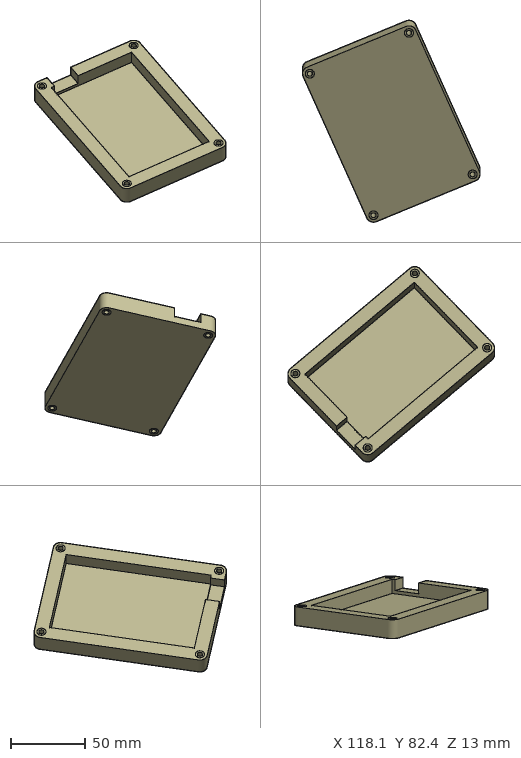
import cadquery as cq

length = 118.1
width = 82.4
height = 13.0
corner_radius = 5.0

wall = 9.6
cavity_depth = 9.7

notch_width = 18.7
notch_depth = 7.4
notch_center_y = -19.8

sleeve_diameter = 6.0
bore_diameter = 3.4
sleeve_x = length / 2 - corner_radius
sleeve_y = width / 2 - corner_radius
sleeve_positions = [(x, y) for x in (-sleeve_x, sleeve_x) for y in (-sleeve_y, sleeve_y)]


def make_cavity():
    """Cutter for the cavity, open at the top face."""
    return (
        cq.Workplane("XY")
        .workplane(offset=height - cavity_depth)
        .rect(length - 2 * wall, width - 2 * wall)
        .extrude(cavity_depth)
    )


def make_notch():
    """Cutter for the notch, from the outer -X face to the cavity."""
    return (
        cq.Workplane("XY")
        .box(wall, notch_width, notch_depth, centered=(False, True, False))
        .translate((-length / 2, notch_center_y, height - notch_depth))
    )


def make_housing():
    """Rounded block with a cavity, a side notch and four through holes for the sleeves."""
    block = (
        cq.Workplane("XY")
        .box(length, width, height, centered=(True, True, False))
        .edges("|Z")
        .fillet(corner_radius)
    )
    sleeve_holes = (
        cq.Workplane("XY")
        .pushPoints(sleeve_positions)
        .circle(sleeve_diameter / 2)
        .extrude(height)
    )
    return block.cut(make_cavity()).cut(make_notch()).cut(sleeve_holes)


def make_sleeve(x, y):
    """Full-height tube that fills one corner hole."""
    return (
        cq.Workplane("XY")
        .center(x, y)
        .circle(sleeve_diameter / 2)
        .circle(bore_diameter / 2)
        .extrude(height)
    )


housing = make_housing()
sleeves = [make_sleeve(x, y) for x, y in sleeve_positions]

result = cq.Compound.makeCompound([housing.val(), *[sleeve.val() for sleeve in sleeves]])